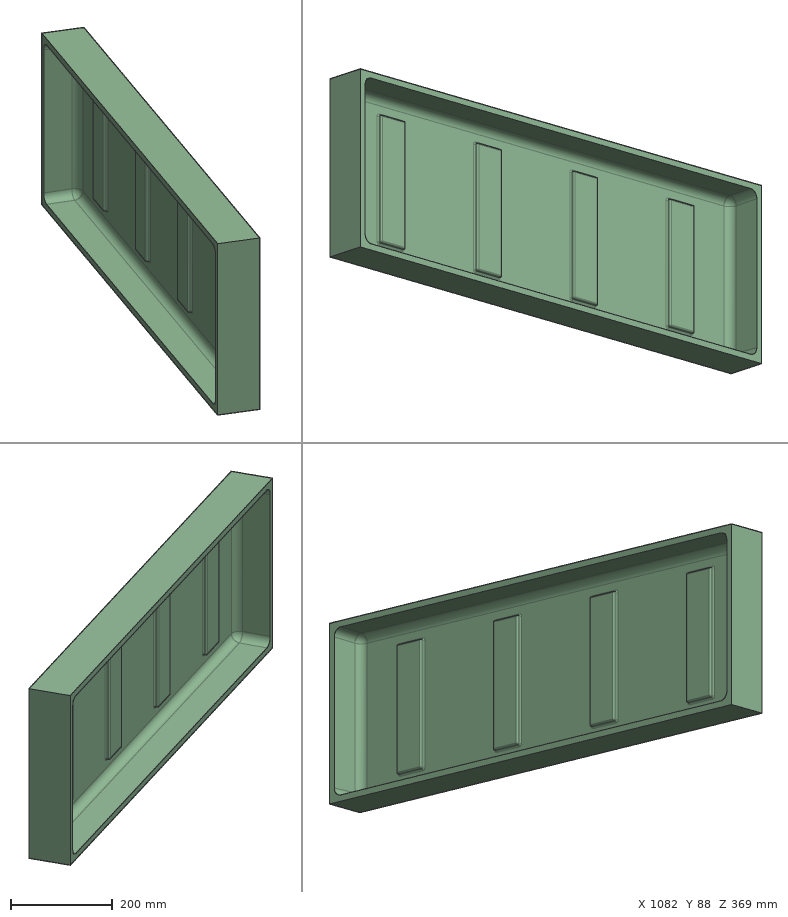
import cadquery as cq

length = 1082.0
depth = 88.0
height = 369.0

wall = 13.0
floor_thickness = wall
draft_angle = 1.5
cavity_radius = 17.0

pad_count = 4
pad_pitch = 260.0
pad_width = 72.0
pad_height = 272.0
pad_rise = 9.0
pad_radius = 3.0

front_y = -depth / 2
floor_y = depth / 2 - floor_thickness
cavity_depth = floor_y - front_y
pad_wall_width = pad_width - 2 * pad_radius
pad_wall_height = pad_height - 2 * pad_radius


def make_cavity():
    """Cavity narrowing from the rim to the floor, with rounded corners and floor edge."""
    mouth_width = length - 2 * wall
    mouth_height = height - 2 * wall
    cavity = (
        cq.Workplane("ZX", origin=(0, front_y, 0))
        .rect(mouth_height, mouth_width)
        .extrude(cavity_depth, taper=draft_angle)
    )
    return cavity.edges("not <Y").fillet(cavity_radius)


def make_pad(x):
    """Drafted pad standing on the cavity floor, with rounded corners and front edge."""
    pad = (
        cq.Workplane("XZ", origin=(x, floor_y, 0))
        .rect(pad_wall_width, pad_wall_height)
        .extrude(pad_rise, taper=draft_angle)
    )
    return pad.edges("not >Y").fillet(pad_radius)


def pad_foot_edges():
    """Selector for the edges where the pads meet the cavity floor."""
    reach_x = (pad_count - 1) / 2 * pad_pitch + pad_width / 2
    reach_z = pad_height / 2
    margin_y = pad_rise / 4
    return cq.selectors.BoxSelector(
        (-reach_x, floor_y - margin_y, -reach_z),
        (reach_x, floor_y + margin_y, reach_z),
    )


result = cq.Workplane("XY").box(length, depth, height).cut(make_cavity())
for index in range(pad_count):
    pad_x = (index - (pad_count - 1) / 2) * pad_pitch
    result = result.union(make_pad(pad_x))
result = result.edges(pad_foot_edges()).fillet(pad_radius)